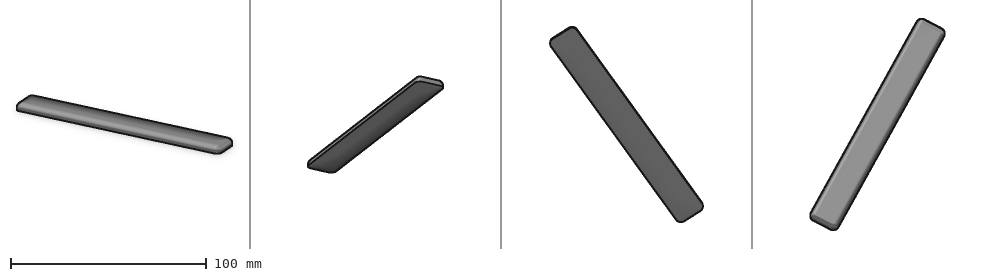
import cadquery as cq

length = 120.0
width = 16.0
height = 4.0

edge_radius = 3.0


def rounded_bar():
    """Flat-bottomed bar with rounded plan corners and a rounded top rim."""
    blank = cq.Workplane("XY").box(length, width, height, centered=(True, True, False))
    rounded_plan = blank.edges("|Z").fillet(edge_radius)
    return rounded_plan.faces(">Z").edges().fillet(edge_radius)


result = rounded_bar()